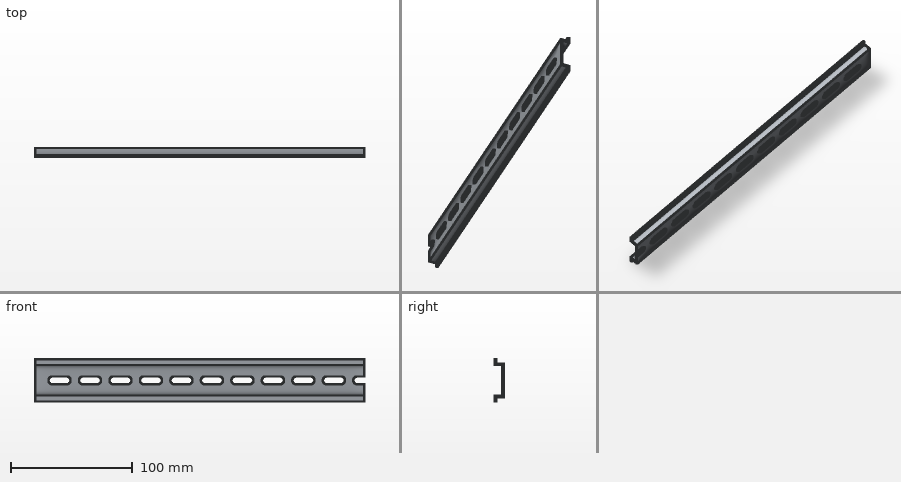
import cadquery as cq

LENGTH = 270.0
HEIGHT = 35.0
DEPTH = 7.5
THICKNESS = 1.5
MOUTH_HEIGHT = 25.0

SLOT_LENGTH = 18.0
SLOT_WIDTH = 6.3
SLOT_PITCH = 25.0
FIRST_SLOT_X = 20.0
SLOT_COUNT = 11


def make_rail():
    """Extrude the hat profile: a web, two side walls and two outward lips."""
    lip_edge = HEIGHT / 2
    wall_inside = MOUTH_HEIGHT / 2
    wall_outside = wall_inside + THICKNESS
    web_inside = DEPTH - THICKNESS

    upper_half = [
        (web_inside, wall_inside),
        (0, wall_inside),
        (0, lip_edge),
        (THICKNESS, lip_edge),
        (THICKNESS, wall_outside),
        (DEPTH, wall_outside),
    ]
    lower_half = [(y, -z) for y, z in reversed(upper_half)]
    profile = cq.Workplane("YZ").polyline(upper_half + lower_half).close()
    return profile.extrude(LENGTH)


def make_slots():
    """Round-ended cutters that pass through the full depth of the rail."""
    centres = [(FIRST_SLOT_X + i * SLOT_PITCH, 0) for i in range(SLOT_COUNT)]
    return (
        cq.Workplane("XZ")
        .pushPoints(centres)
        .slot2D(SLOT_LENGTH, SLOT_WIDTH)
        .extrude(-DEPTH)
    )


result = make_rail().cut(make_slots())